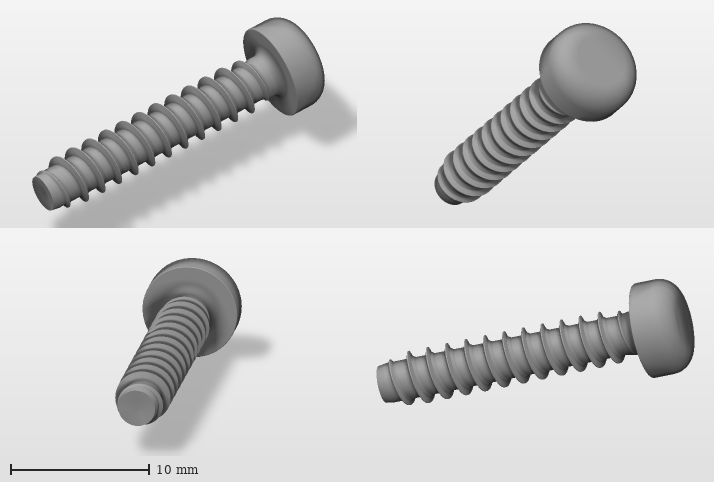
import cadquery as cq
import math

total_length = 23.1

head_diameter = 7.0
head_height = 3.1
head_dome_radius = 1.52
head_rim_radius = 0.07

shank_length = total_length - head_height
neck_diameter = 3.19
neck_fillet = 0.6
neck_end_depth = 0.97
core_diameter = 2.9
core_start_depth = 1.62
tip_diameter = 2.72
tip_taper_length = 0.58
tip_dimple_depth = 0.15

thread_diameter = 4.0
thread_turns = 13
crest_half_width = 0.035
head_flank_knee_width = 0.18
head_flank_knee_radius = 1.62
head_flank_root_width = 0.67
tip_flank_root_width = 0.3
buried_depth = 0.15
thread_start_depth = 0.7
thread_end_depth = 19.65
thread_start_radius = 1.57
thread_end_radius = 1.48
runout_length = 1.75
start_angle = -160.0
points_per_turn = 12

head_radius = head_diameter / 2
neck_radius = neck_diameter / 2
core_radius = core_diameter / 2
tip_radius = tip_diameter / 2
thread_radius = thread_diameter / 2
root_radius = core_radius - buried_depth
thread_pitch = (thread_end_depth - thread_start_depth) / thread_turns


def make_body():
    """Head, neck and core as one revolved outline."""
    arc_middle = 1 - math.sqrt(0.5)
    outline = (
        cq.Workplane("XY")
        .moveTo(0, head_height)
        .lineTo(head_radius - head_dome_radius, head_height)
        .threePointArc(
            (head_radius - arc_middle * head_dome_radius, head_height - arc_middle * head_dome_radius),
            (head_radius, head_height - head_dome_radius),
        )
        .lineTo(head_radius, head_rim_radius)
        .threePointArc(
            (head_radius - arc_middle * head_rim_radius, arc_middle * head_rim_radius),
            (head_radius - head_rim_radius, 0),
        )
        .lineTo(neck_radius + neck_fillet, 0)
        .threePointArc(
            (neck_radius + arc_middle * neck_fillet, -arc_middle * neck_fillet),
            (neck_radius, -neck_fillet),
        )
        .lineTo(neck_radius, -neck_end_depth)
        .lineTo(core_radius, -core_start_depth)
        .lineTo(core_radius, tip_taper_length - shank_length)
        .lineTo(tip_radius, -shank_length)
        .lineTo(0, tip_dimple_depth - shank_length)
        .close()
    )
    return outline.revolve(360, (0, 0, 0), (0, 1, 0))


def crest_radius(depth):
    """Radius of the thread crest, rising out of the neck and fading away at the tip."""
    rise = min(1, (depth - thread_start_depth) / runout_length)
    fade = min(1, (thread_end_depth - depth) / runout_length)
    return min(
        thread_start_radius + (thread_radius - thread_start_radius) * rise,
        thread_end_radius + (thread_radius - thread_end_radius) * fade,
    )


def thread_point(turn, offset, full_radius):
    """Point of a helical thread edge; offset is axial from the crest, positive towards the head."""
    depth = thread_start_depth + thread_pitch * turn
    angle = math.radians(start_angle + 360 * turn)
    height_share = (full_radius - root_radius) / (thread_radius - root_radius)
    radius = root_radius + height_share * (crest_radius(depth) - root_radius)
    return cq.Vector(radius * math.cos(angle), offset - depth, radius * math.sin(angle))


def thread_edge(first_turn, offset, full_radius):
    """One turn of a helical thread edge."""
    points = []
    for step in range(points_per_turn + 1):
        turn = first_turn + step / points_per_turn
        points.append(thread_point(turn, offset, full_radius))
    return cq.Edge.makeSpline(points, parameters=range(points_per_turn + 1))


def make_thread():
    """Thread ridge: ruled faces between its helical edges, with a flat face at each end."""
    profile = [
        (head_flank_root_width, root_radius),
        (head_flank_knee_width, head_flank_knee_radius),
        (crest_half_width, thread_radius),
        (-crest_half_width, thread_radius),
        (-tip_flank_root_width, root_radius),
    ]
    faces = []
    for first_turn in range(thread_turns):
        edges = [thread_edge(first_turn, *corner) for corner in profile]
        for edge, neighbour in zip(edges, edges[1:] + edges[:1]):
            faces.append(cq.Face.makeRuledSurface(edge, neighbour))
    for turn in (0, thread_turns):
        corners = [thread_point(turn, *corner) for corner in profile]
        faces.append(cq.Face.makeFromWires(cq.Wire.makePolygon(corners, close=True)))
    return cq.Solid.makeSolid(cq.Shell.makeShell(faces)).fix()


result = make_body().union(cq.Workplane(obj=make_thread()))